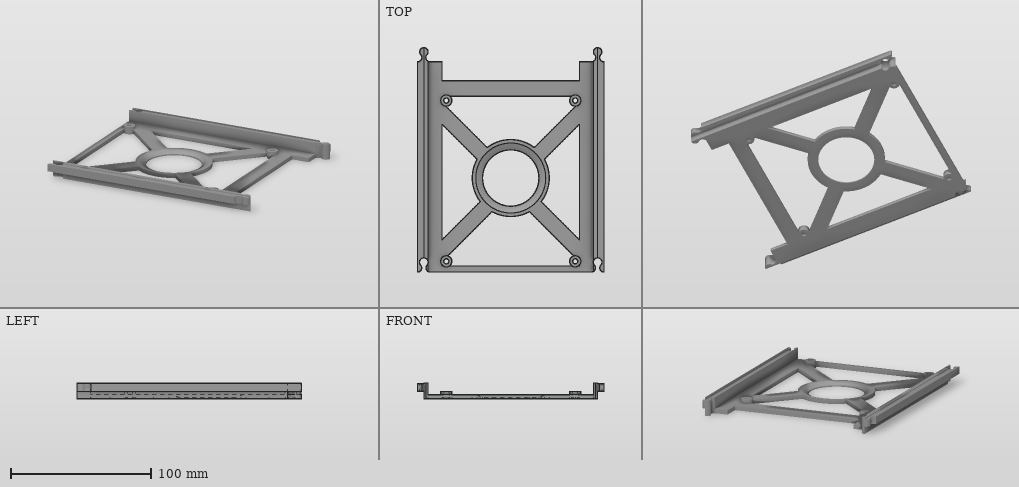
import cadquery as cq
import math

width = 133.0
length = 160.1
height = 11.5
plate_thickness = 3.0

wall_outer_x = 62.0
wall_thickness = 3.0
wall_inner_x = wall_outer_x - wall_thickness
shelf_bottom = 5.5
shelf_top = 10.9

knob_length = 10.1
knob_radius = wall_thickness
neck_width = 3.0
neck_arc_radius = 5.0 / 2

front_y = -length / 2
rear_y = length / 2
shoulder_y = rear_y - knob_length

opening_half_width = 49.0
window_front_y = front_y + 4.5
window_rear_y = front_y + 125.4
notch_front_y = front_y + 136.5

arm_center_y = front_y + 64.2
arm_width = 11.0
arm_length = 147.3
arm_angle = 45
ring_center_y = front_y + 67.1
ring_outer_diameter = 55.0
ring_cone_diameter = 50.0
ring_hole_diameter = 40.0
ring_land_height = 1.0

boss_diameter = 8.0
boss_hole_diameter = 3.5
boss_top = 5.5
boss_x = 46.0
boss_front_y = front_y + 7.7
boss_rear_y = front_y + 122.3
boss_points = [(side * boss_x, y) for side in (-1, 1) for y in (boss_front_y, boss_rear_y)]


def box(x_min, x_max, y_min, y_max, z_min, z_max):
    """Block between two opposite corners."""
    size = (x_max - x_min, y_max - y_min, z_max - z_min)
    return cq.Workplane("XY").box(*size, centered=False).translate((x_min, y_min, z_min))


def disc(diameter, thickness, y):
    """Upright disc on the centre line, standing on Z = 0."""
    return cq.Workplane("XY").center(0, y).circle(diameter / 2).extrude(thickness)


def knob(axis_x, base_y):
    """Full-height round knob whose neck flares tangentially into its base line."""
    arc_x = neck_width / 2 + neck_arc_radius
    arc_y = base_y + neck_arc_radius
    head_y = base_y + knob_length - knob_radius
    center_distance = math.hypot(arc_x, head_y - arc_y)
    touch_x = arc_x * knob_radius / center_distance
    touch_y = head_y - (head_y - arc_y) * knob_radius / center_distance
    neck_x = neck_width / 2
    return (
        cq.Workplane("XY")
        .moveTo(axis_x - arc_x, base_y)
        .lineTo(axis_x + arc_x, base_y)
        .threePointArc((axis_x + neck_x, arc_y), (axis_x + touch_x, touch_y))
        .threePointArc((axis_x, head_y + knob_radius), (axis_x - touch_x, touch_y))
        .threePointArc((axis_x - neck_x, arc_y), (axis_x - arc_x, base_y))
        .close()
        .extrude(height)
    )


def rail(side):
    """Wall and shelf on one side, with the rear end trimmed to the knob outline."""
    wall_x = sorted((side * wall_inner_x, side * wall_outer_x))
    shelf_x = sorted((side * wall_outer_x, side * width / 2))
    section = box(*wall_x, front_y, rear_y, 0, height)
    section = section.union(box(*shelf_x, front_y, rear_y, shelf_bottom, shelf_top))
    rail_x = sorted((side * wall_inner_x, side * width / 2))
    outline = box(*rail_x, front_y, shoulder_y, 0, height)
    outline = outline.union(knob(side * wall_outer_x, shoulder_y))
    return section.intersect(outline)


def frame():
    """Flat plate with a rear notch and one large window."""
    plate = box(-wall_inner_x, wall_inner_x, front_y, shoulder_y, 0, plate_thickness)
    notch = box(-opening_half_width, opening_half_width, notch_front_y, shoulder_y, 0, plate_thickness)
    window = box(-opening_half_width, opening_half_width, window_front_y, window_rear_y, 0, plate_thickness)
    return plate.cut(notch).cut(window)


def arm(angle):
    """Diagonal bar crossing the window."""
    bar = cq.Workplane("XY").rect(arm_length, arm_width).extrude(plate_thickness)
    return bar.rotate((0, 0, 0), (0, 0, 1), angle).translate((0, arm_center_y, 0))


def ring_opening():
    """Short straight bore that opens into a cone toward the top of the ring."""
    bore = disc(ring_hole_diameter, ring_land_height, ring_center_y)
    cone = (
        cq.Workplane("XY", origin=(0, ring_center_y, ring_land_height))
        .circle(ring_hole_diameter / 2)
        .workplane(offset=plate_thickness - ring_land_height)
        .circle(ring_cone_diameter / 2)
        .loft()
    )
    return bore.union(cone)


result = frame()
for angle in (arm_angle, -arm_angle):
    result = result.union(arm(angle))
result = result.union(disc(ring_outer_diameter, plate_thickness, ring_center_y)).cut(ring_opening())

for side in (-1, 1):
    result = result.union(rail(side))
    result = result.cut(knob(side * wall_outer_x, front_y))

bosses = cq.Workplane("XY").pushPoints(boss_points).circle(boss_diameter / 2).extrude(boss_top)
boss_holes = cq.Workplane("XY").pushPoints(boss_points).circle(boss_hole_diameter / 2).extrude(boss_top)
result = result.union(bosses).cut(boss_holes)